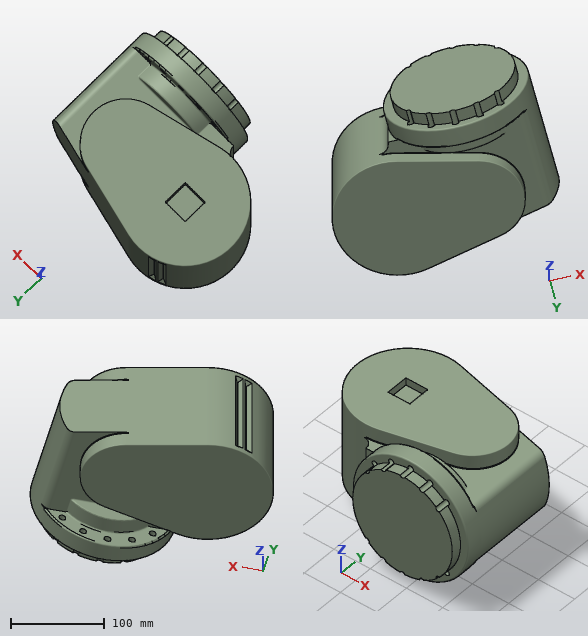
import cadquery as cq
import math


big_radius = 70.0
small_radius = 48.7
body_height = 120.0
body_edge_fillet = 1.0

flange_diameter = 160.0
flange_radius = flange_diameter / 2
flange_back = -82.5
flange_front = -105.0
flange_edge_fillet = 2.0
disc_radius = 68.6
disc_front = -118.8

hole_radius = 3.5
hole_circle_radius = 70.0
hole_step = 22.5
holes_per_arc = 5

arm_height = 80.0
arm_edge_fillet = 10.0
collar_radius = 60.0
collar_back = -63.0
collar_fillet = 1.7

foot_fillet = 1.7

relief_height = 1.5
relief_depth = 0.7

pocket_side = 30.0
pocket_depth = 10.0

groove_width = 9.5
groove_height = 107.0
groove_angles = (114.4, 105.0)
groove_wall_taper = 45.0
groove_depth = 4.3

overall_length = 240.0
big_x = -(overall_length - flange_radius - big_radius)
tangent_angle = math.asin((big_radius - small_radius) / -big_x)

tolerance = 0.02


def tangent_point(center_x, radius, side):
    """Point where a body disc meets the common tangent; side is +1 rear, -1 front."""
    return (
        center_x + radius * math.sin(tangent_angle),
        side * radius * math.cos(tangent_angle),
    )


def y_cylinder(radius, y_start, y_end):
    """Cylinder on the flange axis, from y_start forward to y_end."""
    return cq.Workplane("XZ", origin=(0, y_start, 0)).circle(radius).extrude(y_start - y_end)


def tapered_prism(inset, height):
    """Upright prism of the body outline, moved inward by inset and centered on Z = 0."""
    big = big_radius - inset
    small = small_radius - inset
    return (
        cq.Workplane("XY", origin=(0, 0, -height / 2))
        .moveTo(*tangent_point(big_x, big, 1))
        .threePointArc((big_x - big, 0), tangent_point(big_x, big, -1))
        .lineTo(*tangent_point(0, small, -1))
        .threePointArc((small, 0), tangent_point(0, small, 1))
        .close()
        .extrude(height)
    )


def make_body():
    return tapered_prism(0, body_height).faces("|Z").edges().fillet(body_edge_fillet)


def cut_wall_relief(body):
    height = arm_height + 2 * relief_height
    rear_limit = tangent_point(0, small_radius, 1)[1]
    ring = tapered_prism(0, height).cut(tapered_prism(relief_depth, height))
    reach = (
        cq.Workplane("XY")
        .box(small_radius - big_x, rear_limit + big_radius, height, centered=(False, False, True))
        .translate((big_x, -big_radius, 0))
    )
    return body.cut(ring.intersect(reach))


def make_arm():
    rear_start = tangent_point(big_x, big_radius, 1)
    rear_end_y = rear_start[1] - (flange_radius - rear_start[0]) * math.tan(tangent_angle)
    corner_end_x = -flange_radius
    end_offset = corner_end_x - big_x
    arm_corner_radius = (flange_back**2 + end_offset**2 - big_radius**2) / (2 * (big_radius + end_offset))
    corner_center_x = corner_end_x - arm_corner_radius
    corner_mid = (
        corner_center_x + arm_corner_radius * math.sqrt(0.5),
        flange_back + arm_corner_radius * math.sqrt(0.5),
    )
    touch_share = big_radius / (big_radius + arm_corner_radius)
    touch_point = (big_x + touch_share * (corner_center_x - big_x), touch_share * flange_back)
    plate = (
        cq.Workplane("XY", origin=(0, 0, -arm_height / 2))
        .moveTo(*rear_start)
        .lineTo(flange_radius, rear_end_y)
        .lineTo(flange_radius, flange_back)
        .lineTo(corner_end_x, flange_back)
        .threePointArc(corner_mid, touch_point)
        .close()
        .extrude(arm_height)
    )
    rim_reach = math.sqrt(flange_radius**2 - (arm_height / 2) ** 2)
    envelope = (
        cq.Workplane("XZ", origin=(0, big_radius, 0))
        .moveTo(2 * big_x, -arm_height / 2)
        .lineTo(rim_reach, -arm_height / 2)
        .threePointArc((flange_radius, 0), (rim_reach, arm_height / 2))
        .lineTo(2 * big_x, arm_height / 2)
        .close()
        .extrude(big_radius - flange_back)
    )
    envelope = envelope.edges("|Y").edges(">X").fillet(arm_edge_fillet)
    return plate.intersect(envelope)


def make_flange():
    flange = y_cylinder(flange_radius, flange_back, flange_front).edges().fillet(flange_edge_fillet)
    arm_slab = cq.Workplane("XY").box(overall_length, overall_length, arm_height)
    rear_rim = y_cylinder(flange_radius, flange_back, flange_back - flange_edge_fillet)
    square_band = rear_rim.intersect(arm_slab)
    disc = y_cylinder(disc_radius, flange_front, disc_front)
    return flange.union(square_band).union(disc)


def make_collar():
    return y_cylinder(collar_radius, collar_back, flange_back).faces(">Y").edges().fillet(collar_fillet)


def cut_bolt_holes(part):
    for arc_center in (90, 270):
        for index in range(holes_per_arc):
            angle = math.radians(arc_center + (index - holes_per_arc // 2) * hole_step)
            hole = y_cylinder(hole_radius, flange_back, disc_front).translate(
                (hole_circle_radius * math.cos(angle), 0, hole_circle_radius * math.sin(angle))
            )
            part = part.cut(hole)
    return part


def cut_pocket(part):
    pocket = (
        cq.Workplane("XY", origin=(big_x, 0, body_height / 2))
        .rect(pocket_side, pocket_side)
        .extrude(-pocket_depth)
    )
    return part.cut(pocket)


def cut_rear_grooves(part):
    for degrees in groove_angles:
        outward = (math.cos(math.radians(degrees)), math.sin(math.radians(degrees)), 0)
        mouth = cq.Plane(
            origin=(big_x + big_radius * outward[0], big_radius * outward[1], 0),
            xDir=(0, 0, 1),
            normal=(-outward[0], -outward[1], 0),
        )
        groove = (
            cq.Workplane(mouth)
            .rect(groove_height, groove_width)
            .extrude(groove_depth, taper=groove_wall_taper)
        )
        part = part.cut(groove)
    return part


def fillet_collar_foot(part):
    """Round the corners where the collar meets the flat sides of the arm and the flange."""
    foot = []
    for edge in part.edges().vals():
        center = edge.BoundingBox().center
        ends = (edge.startPoint(), edge.endPoint())
        at_collar = all(
            abs(end.x) < collar_radius and flange_back - tolerance < end.y < collar_back + tolerance
            for end in ends
        )
        on_arm = all(abs(abs(end.z) - arm_height / 2) < tolerance for end in ends)
        on_flange = abs(center.y - flange_back) < tolerance
        if at_collar and on_arm and (not on_flange or edge.geomType() == "CIRCLE"):
            foot.append(edge)
    return part.newObject(foot).fillet(foot_fillet)


flanged_arm = fillet_collar_foot(make_arm().union(make_collar()).union(make_flange()))
result = cut_wall_relief(make_body()).union(flanged_arm)
result = cut_bolt_holes(result)
result = cut_pocket(result)
result = cut_rear_grooves(result)